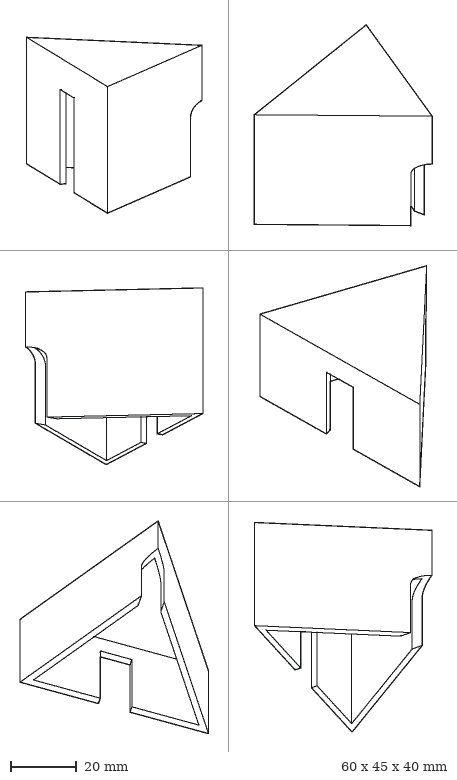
import cadquery as cq
import math

width = 60.0
depth = 45.0
height = 40.0
wall = 2.0

door_width = 10.0
door_height = 30.0

arch_width = 7.2
arch_height = 22.5


def triangular_prism(base_width, base_depth, prism_height, front_y):
    """Upright isosceles prism with its base edge at front_y and its apex toward +Y."""
    outline = [
        (-base_width / 2, front_y),
        (base_width / 2, front_y),
        (0, front_y + base_depth),
    ]
    return cq.Workplane("XY").polyline(outline).close().extrude(prism_height)


def cavity():
    """Inner space open at the bottom, leaving an even wall on the sides and top."""
    half_apex_angle = math.atan2(width / 2, depth)
    apex_setback = wall / math.sin(half_apex_angle)
    inner_depth = depth - wall - apex_setback
    inner_width = width * inner_depth / depth
    return triangular_prism(inner_width, inner_depth, height - wall, wall)


def doorway():
    """Cutter through the front wall only."""
    return cq.Workplane("XY").box(door_width, 2 * wall, door_height, centered=(True, True, False))


def rear_arch():
    """Round-topped cutter from the middle of the cavity out through the rear corner."""
    radius = arch_width / 2
    spring_height = arch_height - radius
    return (
        cq.Workplane("XZ", origin=(0, depth / 2, 0))
        .moveTo(-radius, 0)
        .lineTo(radius, 0)
        .lineTo(radius, spring_height)
        .threePointArc((0, arch_height), (-radius, spring_height))
        .close()
        .extrude(-depth)
    )


body = triangular_prism(width, depth, height, 0)
result = body.cut(cavity()).cut(doorway()).cut(rear_arch())